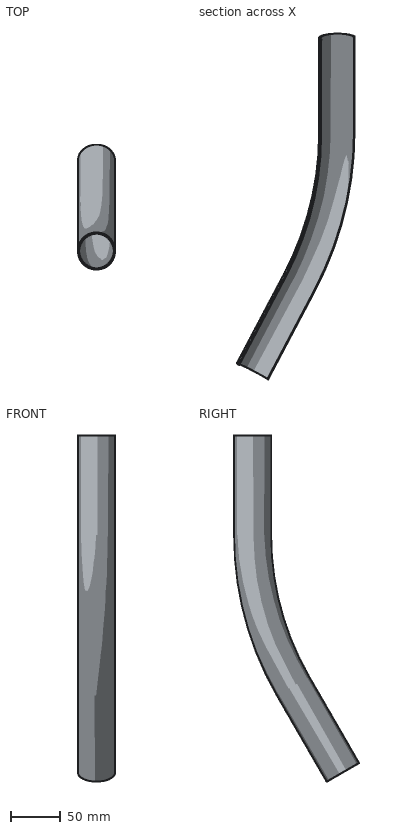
import cadquery as cq
import math

overall_height = 351.5
outer_diameter = 38.0
inner_diameter = 34.8
leg_length = 101.2
bend_angle = math.radians(30)

lower_leg_height = leg_length * math.cos(bend_angle)
end_face_drop = outer_diameter / 2 * math.sin(bend_angle)
bend_height = overall_height - leg_length - lower_leg_height - end_face_drop
bend_radius = bend_height / math.sin(bend_angle)


def point_on_bend(angle):
    """Centreline (Y, Z) after turning by angle from the vertical upper leg."""
    return (
        bend_radius * (1 - math.cos(angle)),
        -leg_length - bend_radius * math.sin(angle),
    )


bend_end = point_on_bend(bend_angle)
lower_end = (
    bend_end[0] + leg_length * math.sin(bend_angle),
    bend_end[1] - lower_leg_height,
)
centreline = (
    cq.Workplane("YZ")
    .lineTo(0, -leg_length)
    .threePointArc(point_on_bend(bend_angle / 2), bend_end)
    .lineTo(*lower_end)
)

result = (
    cq.Workplane("XY")
    .circle(outer_diameter / 2)
    .circle(inner_diameter / 2)
    .sweep(centreline)
)